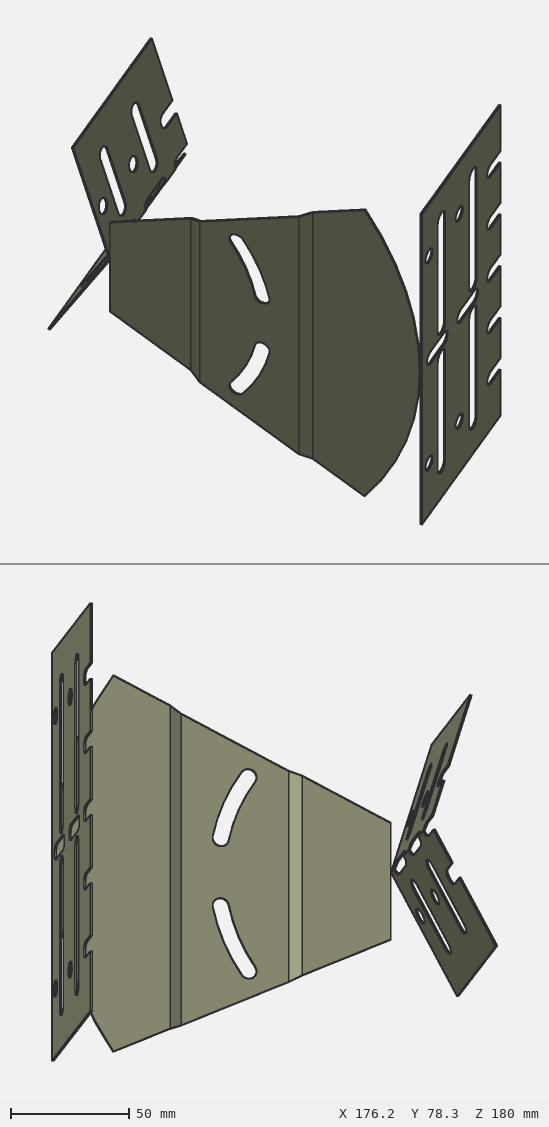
import cadquery as cq
import math


sheet = 0.8
flange_width = 75.0
hole_d = 7.0
slot_ys = (18.7, 48.8)
hole_ys = (6.8, 35.6)
cross_slot_ys = (14.8, 43.7)
cross_slot_length = 20.0
notch_depth = 12.8
slot_end_margin = 14.8
cutter_depth = 3.6

web_radius = 146.0
web_half_angle = 25.5
web_narrow_half = 25.7
web_step = 2.5
channel_start = 38.2
channel_end = 95.8
channel_slope_run = 5.4
arc_slot_radius = 74.5
arc_slot_from = 11.6
arc_slot_to = 35

back_height = 180
back_mid_z = 1.0
notch_pitch = 30.0
back_slot_inner = 5.0

leg_length = 60.1
fold_z = 3.8
upper_tilt = 17
lower_tilt = 28.5
clip_hole_offset = 23.4
clip_slot_inner = 9.7


def slot_cutter(y, z, length, angle):
    """Slot centred at (y, z), running along Y at 0 degrees and along Z at 90."""
    return cq.Workplane("YZ").center(y, z).slot2D(length, hole_d, angle).extrude(cutter_depth / 2, both=True)


def upright_slots(z_from, z_to):
    length = abs(z_to - z_from)
    return [slot_cutter(y, (z_from + z_to) / 2, length, 90) for y in slot_ys]


def round_holes(z):
    return [
        cq.Workplane("YZ").center(y, z).circle(hole_d / 2).extrude(cutter_depth / 2, both=True)
        for y in hole_ys
    ]


def cross_slots(z):
    return [slot_cutter(y, z, cross_slot_length, 0) for y in cross_slot_ys]


def edge_notch(z):
    """Round-ended notch, open at the far Y edge."""
    return slot_cutter(flange_width, z, 2 * notch_depth, 0)


def arc_point(radius, degrees):
    angle = math.radians(degrees)
    return (radius * math.cos(angle), radius * math.sin(angle))


def make_web():
    mitre = sheet * math.tan(math.atan2(web_step, channel_slope_run) / 2)
    floor_start = channel_start + channel_slope_run
    floor_end = channel_end - channel_slope_run
    front_edge = [
        (0, -sheet),
        (channel_start, -sheet),
        (floor_start, -sheet - web_step),
        (floor_end, -sheet - web_step),
        (channel_end, -sheet),
        (web_radius, -sheet),
    ]
    back_edge = [
        (web_radius, 0),
        (channel_end - mitre, 0),
        (floor_end - mitre, -web_step),
        (floor_start + mitre, -web_step),
        (channel_start + mitre, 0),
        (0, 0),
    ]
    sheet_body = cq.Workplane("XY").polyline(front_edge + back_edge).close().extrude(web_radius, both=True)

    slope = math.radians(web_half_angle)
    along = -web_narrow_half * math.sin(slope) + math.sqrt(
        web_radius**2 - (web_narrow_half * math.cos(slope)) ** 2
    )
    corner_x = along * math.cos(slope)
    corner_z = web_narrow_half + along * math.sin(slope)
    outline = (
        cq.Workplane("XZ")
        .moveTo(0, -web_narrow_half)
        .lineTo(corner_x, -corner_z)
        .threePointArc((web_radius, 0), (corner_x, corner_z))
        .lineTo(0, web_narrow_half)
        .close()
        .extrude(flange_width, both=True)
    )
    web = sheet_body.intersect(outline)
    upper_slot = arc_slot_cutter()
    return web.cut(upper_slot).cut(upper_slot.mirror("XY"))


def arc_slot_cutter():
    """Curved slot above the X axis, concentric with the swivel point."""
    inner = arc_slot_radius - hole_d / 2
    outer = arc_slot_radius + hole_d / 2
    middle = (arc_slot_from + arc_slot_to) / 2
    band = (
        cq.Workplane("XZ")
        .moveTo(*arc_point(inner, arc_slot_from))
        .threePointArc(arc_point(inner, middle), arc_point(inner, arc_slot_to))
        .lineTo(*arc_point(outer, arc_slot_to))
        .threePointArc(arc_point(outer, middle), arc_point(outer, arc_slot_from))
        .close()
        .extrude(flange_width, both=True)
    )
    for degrees in (arc_slot_from, arc_slot_to):
        end = cq.Workplane("XZ").center(*arc_point(arc_slot_radius, degrees))
        band = band.union(end.circle(hole_d / 2).extrude(flange_width, both=True))
    return band


def make_back_plate():
    half = back_height / 2
    plate = cq.Workplane("XY").box(sheet, flange_width, back_height, centered=(True, False, True))
    cutters = cross_slots(0)
    for side in (-1, 1):
        cutters += upright_slots(side * back_slot_inner, side * (half - slot_end_margin))
        cutters += round_holes(side * 2 * notch_pitch)
    for step in range(-2, 3):
        cutters.append(edge_notch(step * notch_pitch))
    for cutter in cutters:
        plate = plate.cut(cutter)
    return plate.translate((web_radius + sheet / 2, 0, back_mid_z))


def make_clip():
    up = math.radians(upper_tilt)
    down = math.radians(lower_tilt)
    upper_end = (-leg_length * math.sin(up), leg_length * math.cos(up))
    lower_end = (-leg_length * math.sin(down), -leg_length * math.cos(down))
    mitre = sheet / math.cos((up + down) / 2)
    mitre_angle = (down - up) / 2
    clip = (
        cq.Workplane("XZ")
        .polyline([
            (0, 0),
            upper_end,
            (upper_end[0] - sheet * math.cos(up), upper_end[1] - sheet * math.sin(up)),
            (-mitre * math.cos(mitre_angle), mitre * math.sin(mitre_angle)),
            (lower_end[0] - sheet * math.cos(down), lower_end[1] + sheet * math.sin(down)),
            lower_end,
        ])
        .close()
        .extrude(-flange_width)
    )
    for side, turn in ((1, -upper_tilt), (-1, lower_tilt)):
        cutters = cross_slots(0) + round_holes(side * clip_hole_offset)
        cutters += upright_slots(side * clip_slot_inner, side * (leg_length - slot_end_margin))
        cutters += [edge_notch(0), edge_notch(side * clip_hole_offset)]
        for cutter in cutters:
            clip = clip.cut(cutter.rotate((0, 0, 0), (0, 1, 0), turn))
    return clip.translate((0, 0, fold_z))


web = make_web()
back_plate = make_back_plate()
clip = make_clip()

result = cq.Compound.makeCompound([web.solids().val(), back_plate.solids().val(), clip.solids().val()])